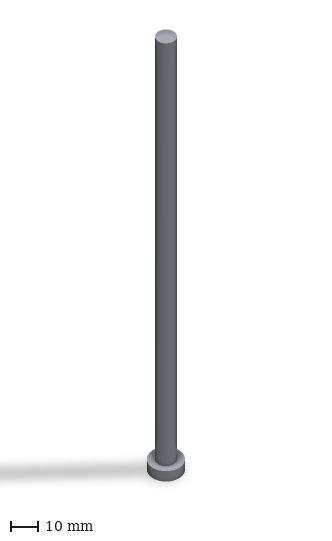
import cadquery as cq

total_length = 205.0
head_diameter = 14.0
head_height = 5.0
shank_diameter = 8.0

head = cq.Workplane("XY").circle(head_diameter / 2).extrude(head_height)
shank = cq.Workplane("XY").circle(shank_diameter / 2).extrude(total_length)

result = head.union(shank)